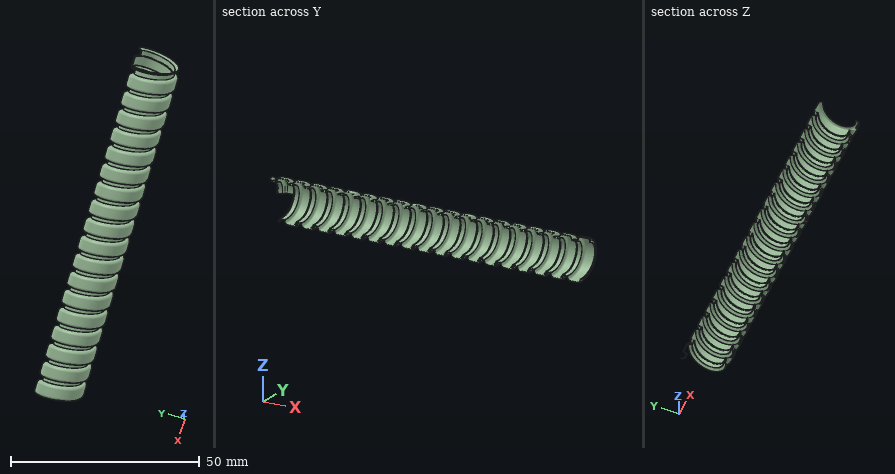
import cadquery as cq
import math


OUTER_RADIUS = 13.0 / 2
BORE_RADIUS = 9.8 / 2
LIP_TIP_RADIUS = 11.98 / 2
LAYER_THICKNESS = 0.16
STRIP_THICKNESS = 2 * LAYER_THICKNESS
FOOT_CLEARANCE = 0.03

PITCH = 5.17
FULL_TURNS = 18
LAST_TURN_ANGLE = 79.0
OVERALL_LENGTH = 100.54
WINDING_LENGTH = PITCH * (FULL_TURNS + LAST_TURN_ANGLE / 360)

PROFILE_WIDTH = OVERALL_LENGTH - WINDING_LENGTH
LIP_ANGLE = math.radians(55.0)
FLANK_ANGLE = math.radians(75.0)
CREST_FLAT = 2.45
CREST_BEND_RADIUS = 0.6

FLOOR_RADIUS = BORE_RADIUS + LAYER_THICKNESS
CREST_RADIUS = OUTER_RADIUS - LAYER_THICKNESS
BEND_CENTER_RADIUS = CREST_RADIUS - CREST_BEND_RADIUS
LIP_RADIUS = LIP_TIP_RADIUS - LAYER_THICKNESS * math.cos(LIP_ANGLE)
FOOT_RADIUS = (
    BORE_RADIUS + STRIP_THICKNESS + FOOT_CLEARANCE + LAYER_THICKNESS * math.cos(FLANK_ANGLE)
)

BEND_RUN = CREST_BEND_RADIUS * math.sin(FLANK_ANGLE)
BEND_END_RADIUS = BEND_CENTER_RADIUS + CREST_BEND_RADIUS * math.cos(FLANK_ANGLE)
LIP_X = LAYER_THICKNESS * math.sin(LIP_ANGLE)
FOOT_X = PROFILE_WIDTH - LAYER_THICKNESS * math.sin(FLANK_ANGLE)
FLOOR_START = LIP_X + (LIP_RADIUS - FLOOR_RADIUS) / math.tan(LIP_ANGLE)
CREST_END = FOOT_X - (BEND_END_RADIUS - FOOT_RADIUS) / math.tan(FLANK_ANGLE) - BEND_RUN
CREST_START = CREST_END - CREST_FLAT
FLOOR_END = CREST_START - BEND_RUN - (BEND_END_RADIUS - FLOOR_RADIUS) / math.tan(FLANK_ANGLE)


def edge_point(radius, x, angle, offset):
    """Point of a strip edge, moved by offset across a flank that slopes at angle."""
    return radius + offset * math.cos(angle), x + offset * math.sin(angle)


def crest_bend(crest_x, side, offset):
    """Flank end, middle and crest end of a bend; side is -1 or 1 along X."""
    bend_radius = CREST_BEND_RADIUS + offset
    return [
        (
            BEND_CENTER_RADIUS + bend_radius * math.cos(angle),
            crest_x + side * bend_radius * math.sin(angle),
        )
        for angle in (FLANK_ANGLE, FLANK_ANGLE / 2, 0)
    ]


def strip_line(offset):
    """Lip, floor, bend and foot points as (radius, axial), moved outward by offset."""
    floor = [
        (FLOOR_RADIUS + offset, FLOOR_START + offset * math.tan(LIP_ANGLE / 2)),
        (FLOOR_RADIUS + offset, FLOOR_END - offset * math.tan(FLANK_ANGLE / 2)),
    ]
    lip = edge_point(LIP_RADIUS, LIP_X, LIP_ANGLE, offset)
    foot = edge_point(FOOT_RADIUS, FOOT_X, FLANK_ANGLE, offset)
    return lip, floor, crest_bend(CREST_START, -1, offset), crest_bend(CREST_END, 1, offset), foot


def layer_profile(inner_offset, outer_offset):
    """Closed outline of a layer: lip to foot along its bore side, back along its outside."""
    lip, floor, rising, falling, foot = strip_line(inner_offset)
    profile = cq.Workplane("XZ").polyline([lip, *floor, rising[0]])
    profile = profile.threePointArc(rising[1], rising[2]).lineTo(*falling[2])
    profile = profile.threePointArc(falling[1], falling[0]).lineTo(*foot)

    lip, floor, rising, falling, foot = strip_line(outer_offset)
    profile = profile.lineTo(*foot).lineTo(*falling[0])
    profile = profile.threePointArc(falling[1], falling[2]).lineTo(*rising[2])
    profile = profile.threePointArc(rising[1], rising[0])
    return profile.lineTo(*floor[1]).lineTo(*floor[0]).lineTo(*lip).close()


def wound_layer(inner_offset, outer_offset):
    """One layer swept along the helix, which starts on the +Y side."""
    helix = cq.Workplane(cq.Wire.makeHelix(PITCH, WINDING_LENGTH, FLOOR_RADIUS))
    layer = layer_profile(inner_offset, outer_offset).sweep(helix, isFrenet=True)
    return layer.rotate((0, 0, 0), (1, 1, 1), 120)


inner_layer = wound_layer(-LAYER_THICKNESS, 0)
outer_layer = wound_layer(0, LAYER_THICKNESS)

result = cq.Compound.makeCompound([inner_layer.val(), outer_layer.val()])